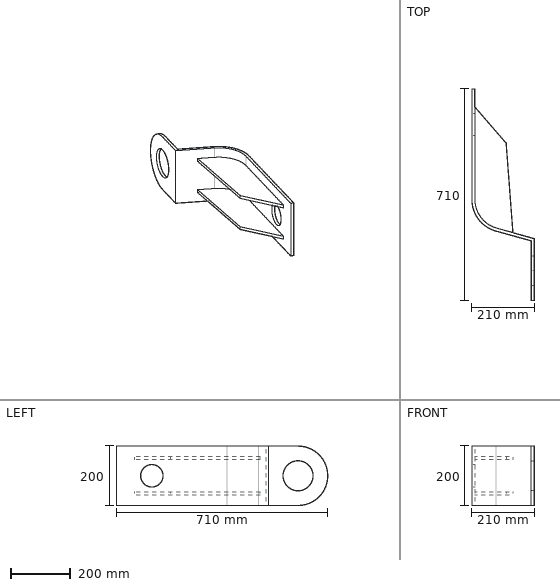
import cadquery as cq
import math

length = 710.0
width = 210.0
height = 200.0
thickness = 11.0
bend_radius = 110.0
slope_angle = 15.5
tab_corner_y = 208.0
small_hole_diameter = 74.5
small_hole_from_end = 119.0
large_hole_diameter = 100.0

gusset_thickness = 11.0
gusset_inset = 35.5
gusset_start_from_end = 60.0
gusset_peak = (116.0, 528.0)
gusset_foot_x = 138.5

tab_radius = height / 2
slope = math.radians(slope_angle)


def web_outer_y(x):
    """Y of the outer (-Y) web face."""
    return web_inner_y(x) - thickness / math.cos(slope)


def web_inner_y(x):
    """Y of the inner (+Y) web face."""
    return tab_corner_y + (width - x) * math.tan(slope)


def bend_points(radius):
    """Start, middle and end of a bend arc about the common bend centre."""
    turn = math.pi / 2 - slope
    points = []
    for fraction in (0, 0.5, 1):
        angle = math.pi + turn * fraction
        x = bend_radius + radius * math.cos(angle)
        y = bend_centre_y + radius * math.sin(angle)
        points.append((x, y))
    return points


bend_centre_y = web_outer_y(bend_radius) + bend_radius / math.cos(slope)
outer_bend = bend_points(bend_radius)
inner_bend = bend_points(bend_radius - thickness)
tab_inner_x = width - thickness

strip = (
    cq.Workplane("XY")
    .moveTo(0, length)
    .lineTo(*outer_bend[0])
    .threePointArc(*outer_bend[1:])
    .lineTo(tab_inner_x, web_outer_y(tab_inner_x))
    .lineTo(tab_inner_x, 0)
    .lineTo(width, 0)
    .lineTo(width, tab_corner_y)
    .lineTo(*inner_bend[2])
    .threePointArc(*inner_bend[1::-1])
    .lineTo(thickness, length)
    .close()
    .extrude(height)
)


def side_cylinder(x, y, diameter):
    """Cylinder along X, one sheet thick, centred on the strip height."""
    return (
        cq.Workplane("YZ", origin=(x, 0, 0))
        .center(y, height / 2)
        .circle(diameter / 2)
        .extrude(thickness)
    )


tab_end = cq.Workplane("XY").box(thickness, tab_radius, height, centered=False)
tab_end = tab_end.translate((tab_inner_x, 0, 0))
tab_waste = tab_end.cut(side_cylinder(tab_inner_x, tab_radius, height))
strip = strip.cut(tab_waste)
strip = strip.cut(side_cylinder(tab_inner_x, tab_radius, large_hole_diameter))
strip = strip.cut(side_cylinder(0, length - small_hole_from_end, small_hole_diameter))


def gusset(bottom_z):
    """Flat plate filling the inside of the bend."""
    return (
        cq.Workplane("XY", origin=(0, 0, bottom_z))
        .moveTo(thickness, length - gusset_start_from_end)
        .lineTo(*inner_bend[0])
        .threePointArc(*inner_bend[1:])
        .lineTo(gusset_foot_x, web_inner_y(gusset_foot_x))
        .lineTo(*gusset_peak)
        .close()
        .extrude(gusset_thickness)
    )


result = strip
for bottom_z in (gusset_inset, height - gusset_inset - gusset_thickness):
    result = result.union(gusset(bottom_z))